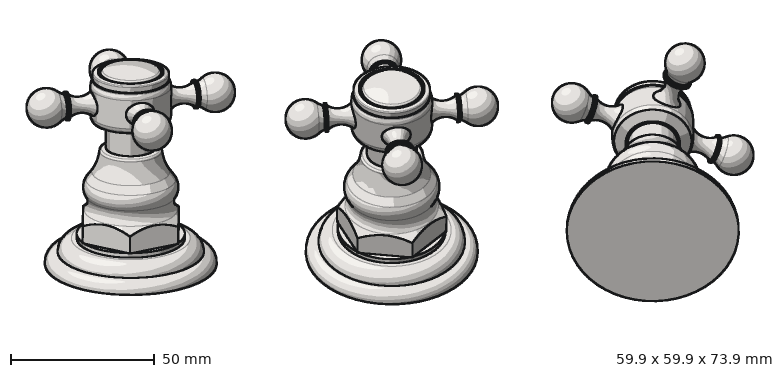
import cadquery as cq
import math

flange_foot_radius = 29.9
flange_step_radius = 25.5
flange_flat_radius = 20.7
flange_step_z = 4.65
flange_top_z = 9.6
flange_round = 4.15
step_round = 5.2

collar_radius = 18.85
hex_bottom_z = 11.3
hex_corner_radius = 19.2
hex_corner_z = 17.65
hex_chamfer_top_radius = 16.25
hex_chamfer_top_z = 20.3

waist_radius = 15.1
waist_z = 23.65
bulge_start_radius = 15.75
bulge_start_z = 25.85
bulge_radius = 16.6
bulge_z = 28.8
shoulder_radius = 15.7
shoulder_z = 31.6
throat_start_radius = 13.6
throat_start_z = 34.4
throat_middle_radius = 11.75
throat_middle_z = 38.4
spout_radius = 10.9
base_top_z = 43.0
spout_edge_round = 0.75

total_height = 73.9
stem_radius = 8.7
stem_bottom_z = 43.5

arm_z = 61.1
hub_radius = 14.1
hub_half_band = 5.25
hub_shoulder_radius = 13.45
hub_shoulder_rise = 7.2
hub_shoulder_bulge = 0.185
hub_bottom_radius = 9.45
hub_bottom_z = 52.5
hub_rim_radius = 13.15
hub_top_z = 68.7

cap_radius = 13.4
cap_bottom_z = 68.95
cap_shoulder_z = 71.4
cap_edge_round = 0.4
bezel_radius = 11.45
bezel_z = 71.7
groove_radius = 10.8
groove_z = 71.4
button_radius = 10.6
button_rim_z = 71.7
button_round = 0.75
dome_radius = 9.8
dome_edge_z = 72.3

arm_count = 4
first_arm_angle = 45
arm_root_radius = 5.4
arm_root_start = 12.85
arm_flare_radius = 4.7
arm_flare_end = 13.5
arm_neck_radius = 2.9
arm_neck_middle = 18.3
arm_collar_radius = 5.0
arm_collar_start = 22.7
arm_collar_end = 23.35
arm_collar_seat_radius = 4.35
ball_seat_end = 24.0
ball_radius = 6.95
ball_center = 30.3
ball_join = 26.1
ball_neck_sag = 0.11


def make_flange():
    """Two rounded steps with a plain round collar under the hexagon."""
    return (
        cq.Workplane("XZ")
        .lineTo(flange_foot_radius, 0)
        .radiusArc((flange_step_radius, flange_step_z), -flange_round)
        .radiusArc((flange_flat_radius, flange_top_z), -step_round)
        .lineTo(collar_radius, flange_top_z)
        .lineTo(collar_radius, hex_bottom_z)
        .lineTo(0, hex_bottom_z)
        .close()
        .revolve(360, (0, 0), (0, 1))
    )


def make_hexagon():
    """Hexagon with corners on the X axis, chamfered by a cone on top."""
    hexagon = (
        cq.Workplane("XY", origin=(0, 0, hex_bottom_z))
        .polygon(6, 2 * hex_corner_radius)
        .extrude(hex_chamfer_top_z - hex_bottom_z)
    )
    chamfer_envelope = (
        cq.Workplane("XZ")
        .moveTo(0, hex_bottom_z)
        .lineTo(hex_corner_radius, hex_bottom_z)
        .lineTo(hex_corner_radius, hex_corner_z)
        .lineTo(hex_chamfer_top_radius, hex_chamfer_top_z)
        .lineTo(0, hex_chamfer_top_z)
        .close()
        .revolve(360, (0, 0), (0, 1))
    )
    return hexagon.intersect(chamfer_envelope)


def make_spout():
    """Turned upper part of the base: waist, bulge, shoulder and throat."""
    edge_start_z = base_top_z - spout_edge_round
    return (
        cq.Workplane("XZ")
        .moveTo(0, hex_chamfer_top_z)
        .lineTo(hex_chamfer_top_radius, hex_chamfer_top_z)
        .threePointArc((waist_radius, waist_z), (bulge_start_radius, bulge_start_z))
        .threePointArc((bulge_radius, bulge_z), (shoulder_radius, shoulder_z))
        .lineTo(throat_start_radius, throat_start_z)
        .threePointArc((throat_middle_radius, throat_middle_z), (spout_radius, edge_start_z))
        .radiusArc((spout_radius - spout_edge_round, base_top_z), -spout_edge_round)
        .lineTo(0, base_top_z)
        .close()
        .revolve(360, (0, 0), (0, 1))
    )


def make_base():
    """Flange, hexagon and spout as one solid."""
    return make_flange().union(make_hexagon()).union(make_spout())


def make_hub():
    """Turned centre of the handle: stem, hub, cap and domed button."""
    band_bottom_z = arm_z - hub_half_band
    band_top_z = arm_z + hub_half_band
    shoulder_bottom_z = arm_z - hub_shoulder_rise
    shoulder_top_z = arm_z + hub_shoulder_rise
    dome_rise = total_height - dome_edge_z
    dome_sphere_radius = (dome_radius**2 + dome_rise**2) / (2 * dome_rise)
    return (
        cq.Workplane("XZ")
        .moveTo(0, stem_bottom_z)
        .lineTo(stem_radius, stem_bottom_z)
        .lineTo(stem_radius, hub_bottom_z)
        .lineTo(hub_bottom_radius, hub_bottom_z)
        .lineTo(hub_shoulder_radius, shoulder_bottom_z)
        .sagittaArc((hub_radius, band_bottom_z), -hub_shoulder_bulge)
        .lineTo(hub_radius, band_top_z)
        .sagittaArc((hub_shoulder_radius, shoulder_top_z), -hub_shoulder_bulge)
        .lineTo(hub_rim_radius, hub_top_z)
        .lineTo(hub_rim_radius, cap_bottom_z)
        .lineTo(cap_radius, cap_bottom_z)
        .lineTo(cap_radius, cap_shoulder_z - cap_edge_round)
        .radiusArc((cap_radius - cap_edge_round, cap_shoulder_z), -cap_edge_round)
        .lineTo(bezel_radius, bezel_z)
        .lineTo(groove_radius, groove_z)
        .lineTo(button_radius, groove_z)
        .lineTo(button_radius, button_rim_z)
        .radiusArc((dome_radius, dome_edge_z), -button_round)
        .radiusArc((0, total_height), -dome_sphere_radius)
        .close()
        .revolve(360, (0, 0), (0, 1))
    )


def make_arm(angle):
    """Ball-ended arm turned about the X axis, then swung to its angle."""
    ball_join_radius = math.sqrt(ball_radius**2 - (ball_center - ball_join) ** 2)
    arm = (
        cq.Workplane("XZ")
        .lineTo(0, arm_root_radius)
        .lineTo(arm_root_start, arm_root_radius)
        .lineTo(arm_flare_end, arm_flare_radius)
        .threePointArc((arm_neck_middle, arm_neck_radius), (arm_collar_start, arm_collar_seat_radius))
        .lineTo(arm_collar_start, arm_collar_radius)
        .lineTo(arm_collar_end, arm_collar_radius)
        .lineTo(arm_collar_end, arm_collar_seat_radius)
        .lineTo(ball_seat_end, arm_collar_seat_radius)
        .sagittaArc((ball_join, ball_join_radius), -ball_neck_sag)
        .threePointArc((ball_center, ball_radius), (ball_center + ball_radius, 0))
        .close()
        .revolve(360, (0, 0), (1, 0))
    )
    return arm.translate((0, 0, arm_z)).rotate((0, 0, 0), (0, 0, 1), angle)


def make_handle():
    """Hub with its ring of evenly spaced arms as one solid."""
    handle = make_hub()
    for index in range(arm_count):
        handle = handle.union(make_arm(first_arm_angle + index * 360 / arm_count))
    return handle


base = make_base()
handle = make_handle()

result = cq.Compound.makeCompound([base.val(), handle.val()])